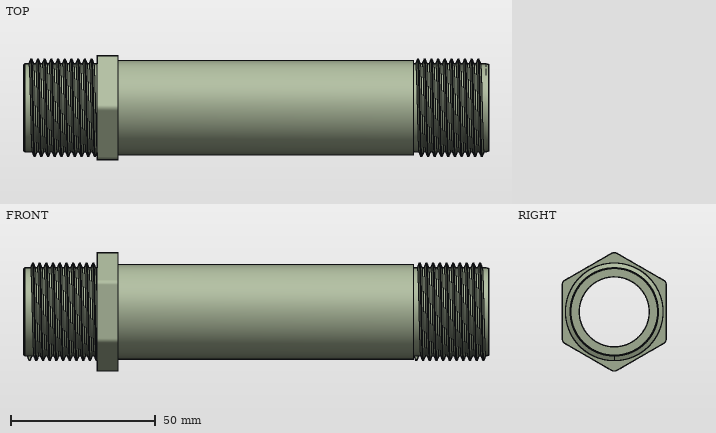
import cadquery as cq

length = 160.9
bore_radius = 12.0
body_radius = 16.4
body_end = 134.8

hex_across_flats = 36.0
hex_start = 25.5
hex_width = 7.2
hex_corner_radius = 2.0

root_radius = 15.3
crest_radius = 16.9
thread_length = 23.2
thread_turns = 10
thread_pitch = thread_length / thread_turns
ridge_base_width = 1.8
ridge_crest_width = 0.3
ridge_overlap = 0.2
left_thread_start = 2.1
right_thread_start = 135.8
left_chamfer = 0.5
right_chamfer_length = 1.0
right_chamfer_depth = 0.3


def cylinder(radius, start, end):
    """Solid cylinder on the X axis."""
    return cq.Workplane("YZ", origin=(start, 0, 0)).circle(radius).extrude(end - start)


def make_core():
    """Threaded-end core with a bevel at each end."""
    return (
        cq.Workplane("XY")
        .moveTo(0, 0)
        .lineTo(0, root_radius - left_chamfer)
        .lineTo(left_chamfer, root_radius)
        .lineTo(length - right_chamfer_length, root_radius)
        .lineTo(length, root_radius - right_chamfer_depth)
        .lineTo(length, 0)
        .close()
        .revolve(360, (0, 0, 0), (1, 0, 0))
    )


def make_collar():
    """Hexagon with rounded corners, two of them pointing along Z."""
    corner_diameter = hex_across_flats / (3 ** 0.5 / 2)
    return (
        cq.Workplane("YZ", origin=(hex_start, 0, 0))
        .polygon(6, corner_diameter)
        .extrude(hex_width)
        .rotate((0, 0, 0), (1, 0, 0), 90)
        .edges("|X")
        .fillet(hex_corner_radius)
    )


def make_thread(start):
    """Helical ridge that begins and ends at the bottom of the barrel."""
    helix = cq.Wire.makeHelix(thread_pitch, thread_length, root_radius)
    inner_radius = root_radius - ridge_overlap
    ridge = (
        cq.Workplane("XZ")
        .polyline([
            (inner_radius, -ridge_base_width / 2),
            (crest_radius, -ridge_crest_width / 2),
            (crest_radius, ridge_crest_width / 2),
            (inner_radius, ridge_base_width / 2),
        ])
        .close()
        .sweep(cq.Workplane(obj=helix), isFrenet=True)
    )
    return ridge.rotate((0, 0, 0), (0, 1, 0), 90).translate((start, 0, 0))


barrel = make_core().union(cylinder(body_radius, hex_start, body_end)).union(make_collar())
for thread_start in (left_thread_start, right_thread_start):
    barrel = barrel.union(make_thread(thread_start))

result = barrel.cut(cylinder(bore_radius, 0, length))